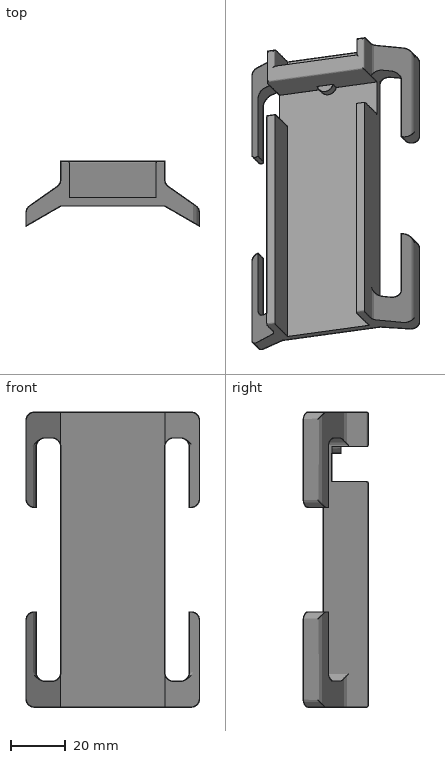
import cadquery as cq
import math

LENGTH = 107.95
WIDTH = 63.5
WALL = 3.175
ROUND = 3.175

BODY_WIDTH = 38.1
BODY_DEPTH = 16.51
FLOOR = WALL
POCKET_WIDTH = BODY_WIDTH - 2 * WALL
EDGE_ROUND = 0.8

HEAD_LENGTH = 12.7
NOTCH_LENGTH = 12.7
BRIDGE_RECESS = 6.35
HEAD_BOTTOM = LENGTH - HEAD_LENGTH
NOTCH_BOTTOM = HEAD_BOTTOM - NOTCH_LENGTH
BRIDGE_TOP = LENGTH - BRIDGE_RECESS

PEG_RADIUS = 3.175
PEG_HEIGHT = 3.4
PEG_DROP = 2.4

WING_SPAN = (WIDTH - BODY_WIDTH) / 2
WING_LENGTH = 34.925
FRONT_ANGLE = math.radians(30)
BACK_ANGLE = math.radians(35)
WING_ROOT = 8.1
ARM_WIDTH = 3.81
SLOT_START = 9.525

HALF_WIDTH = WIDTH / 2
HALF_BODY = BODY_WIDTH / 2


def block(x_min, x_max, y_min, y_max, z_min, z_max):
    """Axis-aligned box between the given limits."""
    return cq.Workplane("XY").box(
        x_max - x_min, y_max - y_min, z_max - z_min, centered=False
    ).translate((x_min, y_min, z_min))


def edge_near(x, y, z):
    """Selector for the edge whose centre is nearest to a point."""
    return cq.selectors.NearestToPointSelector((x, y, z))


def make_body():
    """Channel with a notched pair of side walls."""
    lower = block(-HALF_BODY, HALF_BODY, 0, BODY_DEPTH, 0, NOTCH_BOTTOM)
    half_pocket = POCKET_WIDTH / 2
    lower = lower.cut(block(-half_pocket, half_pocket, FLOOR, BODY_DEPTH, 0, NOTCH_BOTTOM))
    lower = lower.faces(">Y").edges("|X").fillet(EDGE_ROUND)

    floor = block(-HALF_BODY, HALF_BODY, 0, FLOOR, 0, LENGTH)

    head = block(-HALF_BODY, HALF_BODY, 0, BODY_DEPTH, HEAD_BOTTOM, LENGTH)
    head = head.cut(block(-half_pocket, half_pocket, FLOOR, BODY_DEPTH, BRIDGE_TOP, LENGTH))
    head = head.faces(">Y").edges().fillet(EDGE_ROUND)
    return floor.union(lower).union(head)


def make_peg():
    """Round peg rising from the floor and partly buried in the bridge."""
    peg_z = HEAD_BOTTOM - PEG_DROP + PEG_RADIUS
    peg = cq.Workplane("XZ", origin=(0, FLOOR, peg_z)).circle(PEG_RADIUS)
    return peg.extrude(-PEG_HEIGHT)


def make_wing():
    """Upper wing on the +X side: a sloped plate slotted into a downward hook."""
    z_low = LENGTH - WING_LENGTH
    z_slot = LENGTH - SLOT_START
    front_tip = -WING_SPAN * math.tan(FRONT_ANGLE)
    back_tip = WING_ROOT - WING_SPAN * math.tan(BACK_ANGLE)
    root_x = HALF_BODY - WALL
    arm_x = HALF_WIDTH - ARM_WIDTH

    profile = (
        cq.Workplane("XY", origin=(0, 0, z_low))
        .moveTo(root_x, 0)
        .lineTo(HALF_BODY, 0)
        .lineTo(HALF_WIDTH, front_tip)
        .lineTo(HALF_WIDTH, back_tip)
        .lineTo(HALF_BODY, WING_ROOT)
        .lineTo(HALF_BODY, BODY_DEPTH - WALL)
        .lineTo(root_x, BODY_DEPTH - WALL)
        .close()
    )
    wing = profile.extrude(WING_LENGTH)
    z_middle = LENGTH - WING_LENGTH / 2
    wing = wing.edges(edge_near(HALF_BODY, WING_ROOT, z_middle)).fillet(ROUND)
    wing = wing.edges(edge_near(HALF_WIDTH, back_tip, z_middle)).fillet(ROUND)

    outline = block(root_x, HALF_WIDTH, front_tip, BODY_DEPTH, z_low, LENGTH)
    outline = outline.faces(">X").edges("|Y").fillet(ROUND)
    wing = wing.intersect(outline)

    slot = block(HALF_BODY, arm_x, front_tip, BODY_DEPTH, z_low, z_slot)
    slot = slot.faces(">Z").edges("|Y and <X").fillet(ROUND)
    wing = wing.cut(slot)

    arm_front = -(arm_x - HALF_BODY) * math.tan(FRONT_ANGLE)
    wing = wing.edges(edge_near(arm_x, arm_front, (z_low + z_slot) / 2)).fillet(ROUND)
    arm_middle = WING_ROOT / 2 - (arm_x - HALF_BODY) * math.tan(BACK_ANGLE) / 2 + arm_front / 2
    wing = wing.edges(edge_near(arm_x, arm_middle, z_slot)).fillet(ROUND)

    stub_end = z_slot - ROUND
    return wing.cut(block(root_x, HALF_BODY, 0, BODY_DEPTH, z_low, stub_end))


def make_wings():
    """Four hooks, mirrored left to right and end to end."""
    upper_right = make_wing()
    lower_right = upper_right.mirror("XY", (0, 0, LENGTH / 2))
    right = upper_right.union(lower_right)
    return right.union(right.mirror("YZ"))


result = make_body().union(make_peg()).union(make_wings())